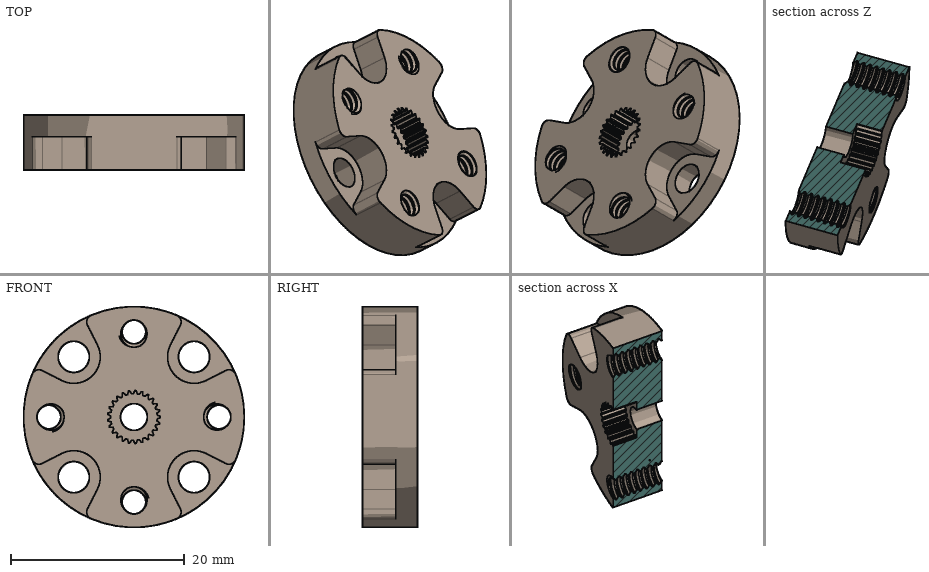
import cadquery as cq
import math

INCH = 25.4

disc_radius = 0.5 * INCH
thickness = 0.25 * INCH
top = thickness / 2
bottom = -thickness / 2
overshoot = 1.0

hole_circle_radius = 0.385 * INCH
threaded_hole_angles = (0, 90, 180, 270)
clearance_hole_angles = (45, 135, 225, 315)
clearance_hole_radius = 0.07 * INCH

pocket_radius = 0.12 * INCH
pocket_depth = 0.15 * INCH
pocket_corner_radius = 0.85

thread_pitch = INCH / 32
thread_major_radius = 0.138 * INCH / 2
thread_minor_radius = 0.1065 * INCH / 2
thread_root_width = thread_pitch / 8
thread_half_angle = math.radians(30)
thread_overlap = 0.1

spline_teeth = 25
spline_tip_radius = 3.05
spline_root_radius = 2.68
spline_depth = 0.12 * INCH
tip_share = 0.16
root_share = 0.30
screw_hole_radius = 0.06 * INCH


def polar(radius, degrees):
    angle = math.radians(degrees)
    return radius * math.cos(angle), radius * math.sin(angle)


def around(cutter, angles):
    """Copies of a cutter turned about the disc axis."""
    return [cutter.rotate((0, 0, 0), (0, 0, 1), angle) for angle in angles]


def through_hole(radius, x=0):
    return (
        cq.Workplane("XY", origin=(x, 0, bottom - overshoot))
        .circle(radius)
        .extrude(thickness + 2 * overshoot)
    )


def rim_pocket():
    """Pocket on +X: an arc about the hole, with radial sides tangent to it
    that flare into the rim through rounded corners."""
    half_angle = math.degrees(math.asin(pocket_radius / hole_circle_radius))
    tangent_distance = math.sqrt(hole_circle_radius**2 - pocket_radius**2)
    corner_center_radius = disc_radius - pocket_corner_radius
    corner_angle = math.degrees(math.asin(pocket_corner_radius / corner_center_radius))
    side_end = math.sqrt(corner_center_radius**2 - pocket_corner_radius**2)
    center_x, center_y = polar(corner_center_radius, half_angle + corner_angle)
    arc_start = half_angle - 90
    arc_end = half_angle + corner_angle
    mid_dx, mid_dy = polar(pocket_corner_radius, (arc_start + arc_end) / 2)
    mid_x = center_x + mid_dx
    mid_y = center_y + mid_dy
    rim_x, rim_y = polar(disc_radius, half_angle + corner_angle)
    side_x, side_y = polar(side_end, half_angle)
    tangent_x, tangent_y = polar(tangent_distance, half_angle)
    outer_x = disc_radius + overshoot
    return (
        cq.Workplane("XY", origin=(0, 0, top - pocket_depth))
        .moveTo(tangent_x, -tangent_y)
        .threePointArc((hole_circle_radius - pocket_radius, 0), (tangent_x, tangent_y))
        .lineTo(side_x, side_y)
        .threePointArc((mid_x, mid_y), (rim_x, rim_y))
        .lineTo(outer_x, rim_y)
        .lineTo(outer_x, -rim_y)
        .lineTo(rim_x, -rim_y)
        .threePointArc((mid_x, -mid_y), (side_x, -side_y))
        .close()
        .extrude(pocket_depth + overshoot)
    )


def thread_groove():
    """Right-handed V groove for the hole on +X, facing the disc axis at the top face."""
    turns_below_top = 9.5
    turns_above_top = 1.0
    start = top - turns_below_top * thread_pitch
    height = (turns_below_top + turns_above_top) * thread_pitch
    helix = cq.Wire.makeHelix(thread_pitch, height, thread_minor_radius)
    inner_radius = thread_minor_radius - thread_overlap
    flank_rise = (thread_major_radius - inner_radius) * math.tan(thread_half_angle)
    root_half = thread_root_width / 2
    inner_half = root_half + flank_rise
    groove = (
        cq.Workplane("XZ")
        .moveTo(inner_radius, -inner_half)
        .lineTo(thread_major_radius, -root_half)
        .lineTo(thread_major_radius, root_half)
        .lineTo(inner_radius, inner_half)
        .close()
        .sweep(cq.Workplane(obj=helix), isFrenet=True)
    )
    return groove.translate((hole_circle_radius, 0, start))


def threaded_hole():
    """Tap hole on +X joined with its thread groove."""
    return through_hole(thread_minor_radius, hole_circle_radius).union(thread_groove())


def spline_socket():
    """Toothed socket with one outer land on +X."""
    tooth_angle = 360 / spline_teeth
    tip_half = tooth_angle * tip_share / 2
    root_half = tooth_angle * root_share / 2
    outline = []
    for tooth in range(spline_teeth):
        tip = tooth * tooth_angle
        root = tip + tooth_angle / 2
        outline.append(polar(spline_tip_radius, tip - tip_half))
        outline.append(polar(spline_tip_radius, tip + tip_half))
        outline.append(polar(spline_root_radius, root - root_half))
        outline.append(polar(spline_root_radius, root + root_half))
    return (
        cq.Workplane("XY", origin=(0, 0, top - spline_depth))
        .polyline(outline)
        .close()
        .extrude(spline_depth + overshoot)
    )


hub = cq.Workplane("XY", origin=(0, 0, bottom)).circle(disc_radius).extrude(thickness)
for pocket in around(rim_pocket(), clearance_hole_angles):
    hub = hub.cut(pocket)
clearance_hole = through_hole(clearance_hole_radius, hole_circle_radius)
for hole in around(clearance_hole, clearance_hole_angles):
    hub = hub.cut(hole)
for hole in around(threaded_hole(), threaded_hole_angles):
    hub = hub.cut(hole)
hub = hub.cut(through_hole(screw_hole_radius)).cut(spline_socket())

result = hub.rotate((0, 0, 0), (1, 0, 0), 90)